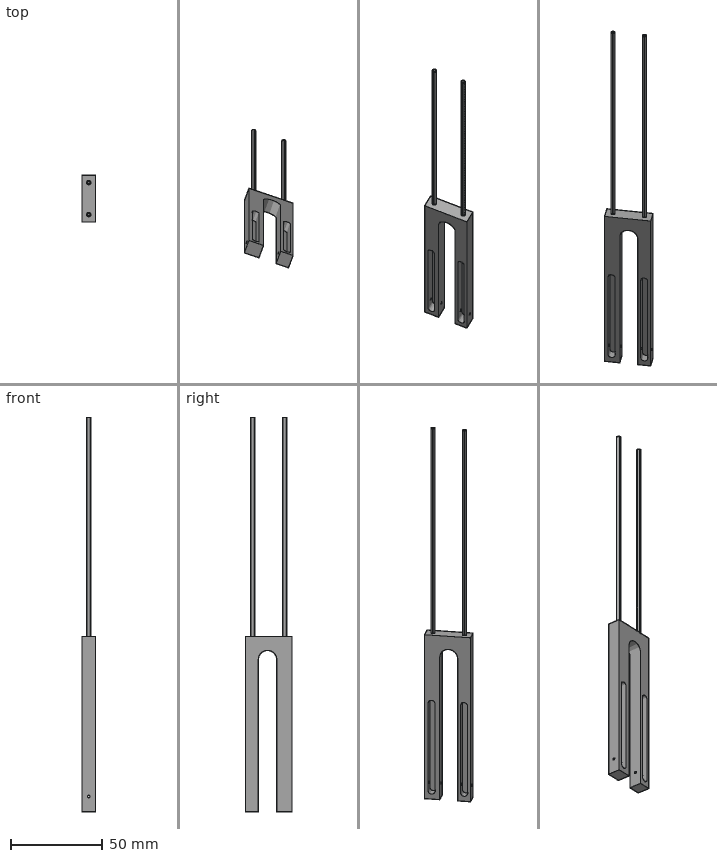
import cadquery as cq

total_height = 215.8
fork_thickness = 7.5
fork_width = 25.7
fork_height = 96.0

gap_width = 10.0
gap_center_y = -0.6
gap_top_wall = 7.8

slot_width = 3.9
slot_length = 54.8
slot_bottom = 3.0
slot_depth = 5.5
slot_centers_y = (8.8, -9.3)

cross_hole_diameter = 1.3
cross_hole_height = 8.5

jacket_diameter = 2.4
core_diameter = 1.3
slit_width = 0.2
wire_length = total_height - fork_height
wire_spacing = 17.5
wire_centers_y = (wire_spacing / 2, -wire_spacing / 2)


def make_slot(center_y):
    """Round-ended cutter reaching from the -X face into a prong."""
    return (
        cq.Workplane("YZ", origin=(-fork_thickness / 2, center_y, slot_bottom + slot_length / 2))
        .slot2D(slot_length, slot_width, 90)
        .extrude(slot_depth)
    )


def make_gap():
    """Cutter for the gap, open at the bottom and with a half-round top."""
    radius = gap_width / 2
    arc_top = fork_height - gap_top_wall
    arc_start = arc_top - radius
    return (
        cq.Workplane("YZ", origin=(-fork_thickness / 2, gap_center_y, 0))
        .moveTo(-radius, 0)
        .lineTo(-radius, arc_start)
        .threePointArc((0, arc_top), (radius, arc_start))
        .lineTo(radius, 0)
        .close()
        .extrude(fork_thickness)
    )


def make_fork():
    body = cq.Workplane("XY").box(
        fork_thickness, fork_width, fork_height, centered=(True, True, False)
    )
    body = body.cut(make_gap())
    for center_y in slot_centers_y:
        body = body.cut(make_slot(center_y))
    cross_hole = (
        cq.Workplane("XZ", origin=(0, fork_width / 2, cross_hole_height))
        .circle(cross_hole_diameter / 2)
        .extrude(fork_width)
    )
    return body.cut(cross_hole)


def make_core(center_y):
    """Bare wire standing on the top of the fork."""
    return (
        cq.Workplane("XY", origin=(0, center_y, fork_height))
        .circle(core_diameter / 2)
        .extrude(wire_length)
    )


def make_jacket(center_y):
    """Tube around a core, slit from its -X side through to the bore."""
    tube = (
        cq.Workplane("XY", origin=(0, center_y, fork_height))
        .circle(jacket_diameter / 2)
        .circle(core_diameter / 2)
        .extrude(wire_length)
    )
    slit = cq.Workplane("XY", origin=(-jacket_diameter / 2, center_y, fork_height)).box(
        jacket_diameter, slit_width, wire_length, centered=(True, True, False)
    )
    return tube.cut(slit)


fork = make_fork()
cores = [make_core(center_y) for center_y in wire_centers_y]
jackets = [make_jacket(center_y) for center_y in wire_centers_y]

result = cq.Compound.makeCompound([fork.val(), *[body.val() for body in cores + jackets]])